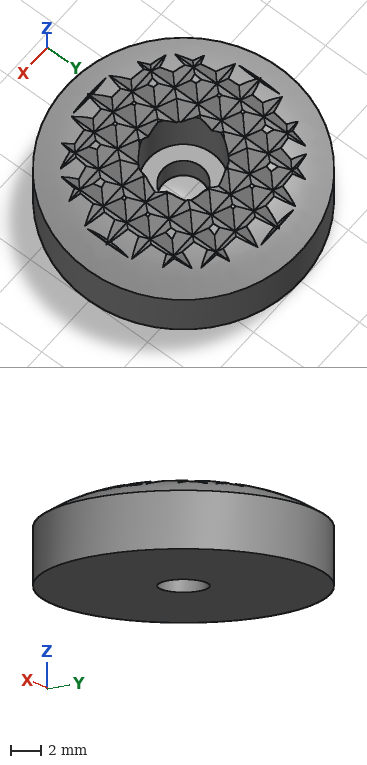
import cadquery as cq
import math

body_radius = 10.0
rim_height = 4.0
total_height = 6.0

crown_radius = 11.85
crown_drop = total_height - rim_height
crown_width = math.sqrt(crown_drop * (2 * crown_radius - crown_drop))
flat_radius = body_radius - crown_width

hole_diameter = 3.5
counterbore_diameter = 6.0
counterbore_floor = 2.0

groove_pitch = 2.0
groove_depth = 1.0
groove_half_angle = math.radians(45)
outermost_groove = 4


def crowned_body():
    """Revolve the half section of the crowned disc around Z."""
    mid_angle = math.asin(crown_width / crown_radius) / 2
    crown_middle = (
        flat_radius + crown_radius * math.sin(mid_angle),
        total_height - crown_radius * (1 - math.cos(mid_angle)),
    )
    return (
        cq.Workplane("XZ")
        .lineTo(body_radius, 0)
        .lineTo(body_radius, rim_height)
        .threePointArc(crown_middle, (flat_radius, total_height))
        .lineTo(0, total_height)
        .close()
        .revolve(360, (0, 0), (0, 1))
    )


def v_groove(plane_name, offset):
    """V-shaped cutter along the plane normal, with its bottom edge at the given offset."""
    groove_bottom = total_height - groove_depth
    half_width = groove_depth * math.tan(groove_half_angle)
    return (
        cq.Workplane(plane_name)
        .moveTo(offset, groove_bottom)
        .lineTo(offset + half_width, total_height)
        .lineTo(offset - half_width, total_height)
        .close()
        .extrude(body_radius, both=True)
    )


def cut_tooth_grid(body):
    """Cut both sets of parallel grooves, leaving pyramids between them."""
    for plane_name in ("XZ", "YZ"):
        for index in range(-outermost_groove, outermost_groove + 1):
            body = body.cut(v_groove(plane_name, index * groove_pitch))
    return body


def cut_stepped_hole(body):
    """Cut the through hole and the wider counterbore above it."""
    through_hole = cq.Workplane("XY").circle(hole_diameter / 2).extrude(total_height)
    counterbore = (
        cq.Workplane("XY")
        .workplane(offset=counterbore_floor)
        .circle(counterbore_diameter / 2)
        .extrude(total_height - counterbore_floor)
    )
    return body.cut(through_hole).cut(counterbore)


result = cut_stepped_hole(cut_tooth_grid(crowned_body()))